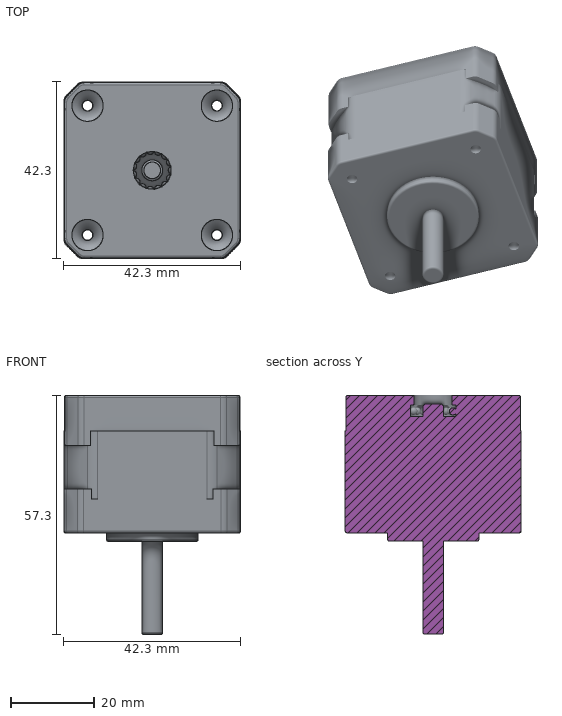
import cadquery as cq
import math

body_height = 33.0
total_height = 57.3
shaft_drop = total_height - body_height

flange_width = 42.3
flange_web_height = 8.1
flange_post_height = 10.55
flange_post_offset = 14.6

cap_width = 42.0
cap_web_height = 8.5
cap_post_height = 12.0
cap_post_offset = 14.8

corner_chamfer = 3.8
corner_fillet = 2.0
rim_fillet = 0.5

core_diameter = 51.2
core_fillet = 4.0

boss_diameter = 22.0
boss_height = 2.0
boss_fillet = 0.5
shaft_diameter = 5.0
shaft_fillet = 0.5
shaft_chamfer = 0.5
shaft_recess = 2.0

hole_spacing = 31.0
hole_diameter = 2.5
countersink_diameter = 7.5
countersink_angle = 90.0

opening_diameter = 9.0
opening_lip = 2.4
bearing_bore = 10.79
bearing_depth = 5.0
ball_count = 15
ball_depth = 3.85
ball_radius = 0.9
ball_circle_radius = 4.73


def cylinder(diameter, bottom, top):
    """Upright cylinder on the motor axis."""
    return cq.Workplane("XY").workplane(offset=bottom).circle(diameter / 2).extrude(top - bottom)


def square_block(width, bottom, top):
    """Upright square block on the motor axis."""
    return cq.Workplane("XY").workplane(offset=bottom).rect(width, width).extrude(top - bottom)


def corner_block(width, bottom, top):
    """Square block with chamfered corners whose upright edges are rounded."""
    block = square_block(width, bottom, top).edges("|Z").chamfer(corner_chamfer)
    return block.edges("|Z").fillet(corner_fillet)


def corner_posts(block, width, offset, bottom, top):
    """The four corners of a block that lie outside the given offset in X and Y."""
    size = width / 2 - offset
    centre = offset + size / 2
    regions = (
        cq.Workplane("XY").workplane(offset=bottom)
        .rect(2 * centre, 2 * centre, forConstruction=True).vertices()
        .rect(size, size).extrude(top - bottom)
    )
    return block.intersect(regions)


def make_flange():
    """Front flange: a full web with a taller post at each corner."""
    block = corner_block(flange_width, 0, flange_post_height)
    block = block.faces("<Z").edges().fillet(rim_fillet)
    web = block.intersect(square_block(flange_width, 0, flange_web_height))
    posts = corner_posts(block, flange_width, flange_post_offset, 0, flange_post_height)
    return web.union(posts)


def make_cap():
    """Rear cap: a full web with a longer post at each corner."""
    post_bottom = body_height - cap_post_height
    web_bottom = body_height - cap_web_height
    block = corner_block(cap_width, post_bottom, body_height)
    block = block.faces(">Z").edges().fillet(rim_fillet)
    web = block.intersect(square_block(cap_width, web_bottom, body_height))
    posts = corner_posts(block, cap_width, cap_post_offset, post_bottom, body_height)
    return web.union(posts)


def make_core():
    """Stator core: a square trimmed by a cylinder, with the upright edges rounded."""
    bottom = flange_web_height / 2
    top = body_height - cap_web_height
    core = square_block(flange_width, bottom, top).intersect(cylinder(core_diameter, bottom, top))
    return core.edges("|Z").fillet(core_fillet)


def make_boss():
    """Pilot boss below the mounting face."""
    return cylinder(boss_diameter, -boss_height, 0).faces("<Z").edges().fillet(boss_fillet)


def make_shaft():
    """Shaft from the rear opening, where it is chamfered, to the rounded drive end."""
    shaft = cylinder(shaft_diameter, -shaft_drop, body_height - shaft_recess)
    shaft = shaft.faces(">Z").edges().chamfer(shaft_chamfer)
    return shaft.faces("<Z").edges().fillet(shaft_fillet)


def make_opening():
    """Space cut by the rear opening and the wider bearing bore below it."""
    lip_bottom = body_height - opening_lip
    opening = cylinder(opening_diameter, lip_bottom, body_height)
    return opening.union(cylinder(bearing_bore, body_height - bearing_depth, lip_bottom))


def make_ball(index):
    """One bearing ball, seated in the wall of the bearing bore."""
    angle = 2 * math.pi * index / ball_count
    centre = (
        ball_circle_radius * math.cos(angle),
        ball_circle_radius * math.sin(angle),
        body_height - ball_depth,
    )
    return cq.Workplane("XY").sphere(ball_radius).translate(centre)


def drill_screw_holes(body):
    """Four through holes on a square, countersunk from the rear face."""
    return (
        body.faces(">Z").workplane(origin=(0, 0, body_height))
        .rect(hole_spacing, hole_spacing, forConstruction=True).vertices()
        .cskHole(hole_diameter, countersink_diameter, countersink_angle)
    )


motor = make_core().union(make_flange()).union(make_cap()).union(make_boss())
motor = drill_screw_holes(motor)
motor = motor.cut(make_opening()).union(make_shaft())
for ball_index in range(ball_count):
    motor = motor.union(make_ball(ball_index))

result = motor